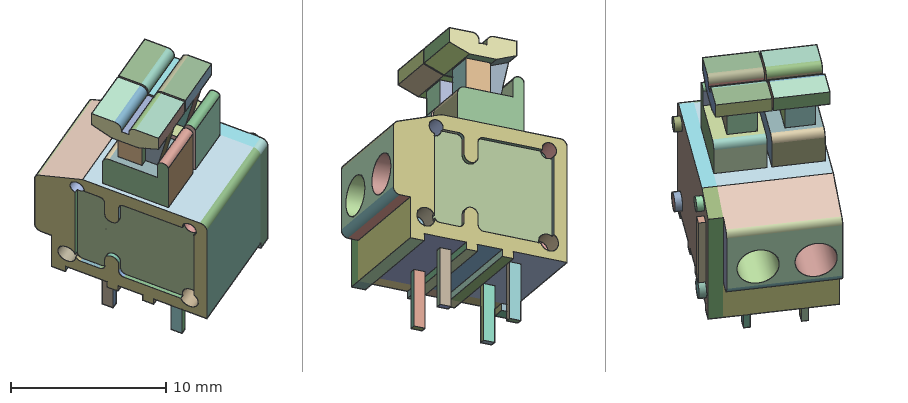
import cadquery as cq


POLE_COUNT = 2
POLE_PITCH = 3.8
POLE_AXIS_Y = 1.75

LENGTH = 12.5
HOUSING_WIDTH = POLE_COUNT * POLE_PITCH
PLATE_THICKNESS = 1.0
FOOT_HEIGHT = 0.5
TOP_Z = 9.17
OVERHANG = 1.22
NOSE_BOTTOM_Z = 2.9
NOSE_TOP_Z = 7.97
SLOPE_END_X = 3.48
EDGE_RADIUS = 0.5
PLATE_SLOPE_Z = NOSE_TOP_Z + (TOP_Z - NOSE_TOP_Z) * OVERHANG / SLOPE_END_X

END_FOOT_WIDTH = 1.0
MIDDLE_FOOT_WIDTH = 0.8
MIDDLE_FOOT_STARTS = (5.25, 7.84)
PLATE_FOOT_WIDTH = 0.97

WIRE_HOLE_DIAMETER = 2.75
WIRE_HOLE_DEPTH = 5.0
WIRE_HOLE_Z = 4.98

RECESS_DEPTH = 0.29
RECESS_LEFT = 2.95
RECESS_RIGHT = 11.55
RECESS_BOTTOM = 1.5
RECESS_TOP = 8.15
RECESS_RADIUS = 0.4
RIB_WIDTH = 1.0
RIB_X = 5.6
LOWER_RIB_TIP_Z = 3.02
UPPER_RIB_TIP_Z = 6.2
SMALL_SNAP_DIAMETER = 1.0
LARGE_SNAP_DIAMETER = 1.3
SNAP_RIGHT_X = 11.22
UPPER_SNAP_LEFT_X = 3.08
LOWER_SNAP_LEFT_X = 2.34
UPPER_SNAP_Z = 8.22
LOWER_SNAP_Z = 1.71
SNAP_HOLE_DEPTH = 1.5
SNAP_PEG_HEIGHT = 0.5
SNAPS = (
    (UPPER_SNAP_LEFT_X, UPPER_SNAP_Z, SMALL_SNAP_DIAMETER),
    (SNAP_RIGHT_X, UPPER_SNAP_Z, SMALL_SNAP_DIAMETER),
    (LOWER_SNAP_LEFT_X, LOWER_SNAP_Z, LARGE_SNAP_DIAMETER),
    (SNAP_RIGHT_X, LOWER_SNAP_Z, LARGE_SNAP_DIAMETER),
)
BAR_LEFT = 2.02
BAR_WIDTH = 0.65
BAR_BOTTOM_Z = 2.47
BAR_TOP_Z = 7.5

TOWER_LEFT = 4.77
TOWER_RIGHT = 9.55
TOWER_TOP_Z = 11.6
TOWER_WIDTH = 3.5
LUG_THICKNESS = 0.8
LUG_TOP_Z = 13.1
LUG_RISE = 0.29

PIN_LENGTH = 3.52
PIN_WIDTH = 0.8
PIN_THICKNESS = 0.45
PIN_STARTS = (4.1, 9.11)

LEVER_AXIS_X = 6.5
HEAD_LENGTH = 4.85
HEAD_WIDTH = 3.69
HEAD_TOP_Z = 15.5
HEAD_SIDE_Z = 14.47
HEAD_BASE_Z = 13.92
STEM_LENGTH = 1.75
STEM_WIDTH = 2.0
STEM_Y = 0.8
HEAD_BASE_LENGTH = 1.94
NOTCH_WIDTH = 0.55
NOTCH_DEPTH = 0.67
NOTCH_RADIUS = 0.5
WEB_THICKNESS = 1.0
WEB_FOOT_X = 8.27


def box(x, y, z, length, width, height):
    """Box given by its lowest corner and its size along X, Y and Z."""
    return cq.Workplane("XY").box(length, width, height, centered=False).translate((x, y, z))


def profile(points, y, width):
    """Closed XZ outline at depth y, extruded towards +Y."""
    return cq.Workplane("XZ", origin=(0, y, 0)).polyline(points).close().extrude(-width)


def cylinder_y(x, z, diameter, y, length):
    """Cylinder along +Y, starting at depth y."""
    return cq.Workplane("XZ", origin=(x, y, z)).circle(diameter / 2).extrude(-length)


def add_through_feet(body, y, width):
    """Add the stretch of the three through-going feet that lies under one slice of the housing."""
    body = body.union(box(OVERHANG, y, 0, END_FOOT_WIDTH, width, FOOT_HEIGHT))
    for start in MIDDLE_FOOT_STARTS:
        body = body.union(box(start, y, 0, MIDDLE_FOOT_WIDTH, width, FOOT_HEIGHT))
    return body


def block():
    """Main block with the wire-entry nose and its feet."""
    body = profile(
        [
            (OVERHANG, FOOT_HEIGHT),
            (LENGTH, FOOT_HEIGHT),
            (LENGTH, TOP_Z),
            (SLOPE_END_X, TOP_Z),
            (0, NOSE_TOP_Z),
            (0, NOSE_BOTTOM_Z),
            (OVERHANG, NOSE_BOTTOM_Z),
        ],
        0,
        HOUSING_WIDTH,
    )
    body = body.faces("<X").edges("|Y").fillet(EDGE_RADIUS)
    body = body.faces(">X").edges(">Z").fillet(EDGE_RADIUS)
    return add_through_feet(body, 0, HOUSING_WIDTH)


def end_plate():
    """Plate closing the +Y side; it follows the block but leaves out the nose."""
    body = profile(
        [
            (OVERHANG, FOOT_HEIGHT),
            (LENGTH, FOOT_HEIGHT),
            (LENGTH, TOP_Z),
            (SLOPE_END_X, TOP_Z),
            (OVERHANG, PLATE_SLOPE_Z),
        ],
        HOUSING_WIDTH,
        PLATE_THICKNESS,
    )
    body = body.faces(">X").edges(">Z").fillet(EDGE_RADIUS)
    right_foot = box(
        LENGTH - PLATE_FOOT_WIDTH, HOUSING_WIDTH, 0,
        PLATE_FOOT_WIDTH, PLATE_THICKNESS, FOOT_HEIGHT,
    )
    return add_through_feet(body.union(right_foot), HOUSING_WIDTH, PLATE_THICKNESS)


def side_recess():
    """Shallow pocket in the -Y side, with a rounded rib left standing at its top and bottom."""
    pocket = box(
        RECESS_LEFT, 0, RECESS_BOTTOM,
        RECESS_RIGHT - RECESS_LEFT, RECESS_DEPTH, RECESS_TOP - RECESS_BOTTOM,
    )
    rib_left = RIB_X - RIB_WIDTH / 2
    lower_rib = box(
        rib_left, 0, RECESS_BOTTOM,
        RIB_WIDTH, RECESS_DEPTH, LOWER_RIB_TIP_Z - RIB_WIDTH / 2 - RECESS_BOTTOM,
    )
    upper_base = UPPER_RIB_TIP_Z + RIB_WIDTH / 2
    upper_rib = box(rib_left, 0, upper_base, RIB_WIDTH, RECESS_DEPTH, RECESS_TOP - upper_base)
    pocket = pocket.cut(lower_rib).cut(upper_rib)
    pocket = pocket.faces("<Z or >Z").edges("|Y").fillet(RECESS_RADIUS)
    for tip_center_z in (LOWER_RIB_TIP_Z - RIB_WIDTH / 2, upper_base):
        pocket = pocket.cut(cylinder_y(RIB_X, tip_center_z, RIB_WIDTH, 0, RECESS_DEPTH))
    return pocket


def snap_pegs():
    """Pegs and bar on the +Y side of the end plate."""
    outer_y = HOUSING_WIDTH + PLATE_THICKNESS
    parts = [cylinder_y(x, z, diameter, outer_y, SNAP_PEG_HEIGHT) for x, z, diameter in SNAPS]
    parts.append(
        box(BAR_LEFT, outer_y, BAR_BOTTOM_Z, BAR_WIDTH, SNAP_PEG_HEIGHT, BAR_TOP_Z - BAR_BOTTOM_Z)
    )
    return parts


def tower(y):
    """Lever guide on top of the block, with a round-topped lug behind the lever."""
    body = box(TOWER_LEFT, y, TOP_Z, TOWER_RIGHT - TOWER_LEFT, TOWER_WIDTH, TOWER_TOP_Z - TOP_Z)
    body = body.faces("<X").edges(">Z").fillet(EDGE_RADIUS)
    lug_left = TOWER_RIGHT - LUG_THICKNESS
    shoulder_z = LUG_TOP_Z - LUG_RISE
    lug = (
        cq.Workplane("XZ", origin=(0, y, 0))
        .moveTo(lug_left, TOP_Z)
        .lineTo(TOWER_RIGHT, TOP_Z)
        .lineTo(TOWER_RIGHT, shoulder_z)
        .threePointArc((lug_left + LUG_THICKNESS / 2, LUG_TOP_Z), (lug_left, shoulder_z))
        .close()
        .extrude(-TOWER_WIDTH)
    )
    return body.union(lug)


def solder_pins(axis_y):
    """Two rectangular pins under one pole."""
    height = PIN_LENGTH + FOOT_HEIGHT
    return [
        box(x, axis_y - PIN_THICKNESS / 2, -PIN_LENGTH, PIN_WIDTH, PIN_THICKNESS, height)
        for x in PIN_STARTS
    ]


def build_housing():
    body = block().cut(side_recess())
    for x, z, diameter in SNAPS:
        body = body.cut(cylinder_y(x, z, diameter, 0, SNAP_HOLE_DEPTH))
    for pole in range(POLE_COUNT):
        wire_hole = (
            cq.Workplane("YZ", origin=(0, POLE_AXIS_Y + pole * POLE_PITCH, WIRE_HOLE_Z))
            .circle(WIRE_HOLE_DIAMETER / 2)
            .extrude(WIRE_HOLE_DEPTH)
        )
        body = body.cut(wire_hole)

    additions = [end_plate(), *snap_pegs()]
    for pole in range(POLE_COUNT):
        additions.append(tower((pole + 1) * POLE_PITCH - TOWER_WIDTH))
        additions.extend(solder_pins(POLE_AXIS_Y + pole * POLE_PITCH))
    for part in additions:
        body = body.union(part, clean=False)
    return body


def lever_head(y):
    """Push head with tapered underside and a screwdriver notch with rounded mouth."""
    left = LEVER_AXIS_X - HEAD_LENGTH / 2
    right = LEVER_AXIS_X + HEAD_LENGTH / 2
    base_left = LEVER_AXIS_X - HEAD_BASE_LENGTH / 2
    base_right = LEVER_AXIS_X + HEAD_BASE_LENGTH / 2
    head = profile(
        [
            (left, HEAD_TOP_Z),
            (left, HEAD_SIDE_Z),
            (base_left, HEAD_BASE_Z),
            (base_right, HEAD_BASE_Z),
            (right, HEAD_SIDE_Z),
            (right, HEAD_TOP_Z),
        ],
        y,
        HEAD_WIDTH,
    )
    notch_left = LEVER_AXIS_X - NOTCH_WIDTH / 2
    notch = box(notch_left, y, HEAD_TOP_Z - NOTCH_DEPTH, NOTCH_WIDTH, HEAD_WIDTH, NOTCH_DEPTH)
    grooved = head.cut(notch)
    top_edges = grooved.faces(">Z").edges("|Y").vals()
    top_edges.sort(key=lambda edge: abs(edge.Center().x - LEVER_AXIS_X))
    return grooved.newObject(top_edges[:2]).fillet(NOTCH_RADIUS)


def build_lever(pole):
    """Push lever standing on its tower: head, square stem and slanted web."""
    stem_y = STEM_Y + pole * POLE_PITCH
    stem_left = LEVER_AXIS_X - STEM_LENGTH / 2
    stem = box(stem_left, stem_y, TOWER_TOP_Z, STEM_LENGTH, STEM_WIDTH, HEAD_BASE_Z - TOWER_TOP_Z)
    web = profile(
        [
            (LEVER_AXIS_X, TOWER_TOP_Z),
            (WEB_FOOT_X, TOWER_TOP_Z),
            (LEVER_AXIS_X + HEAD_LENGTH / 2, HEAD_SIDE_Z),
            (LEVER_AXIS_X, HEAD_SIDE_Z),
        ],
        stem_y + (STEM_WIDTH - WEB_THICKNESS) / 2,
        WEB_THICKNESS,
    )
    return lever_head((pole + 1) * POLE_PITCH - HEAD_WIDTH).union(stem).union(web)


housing = build_housing()
levers = [build_lever(pole) for pole in range(POLE_COUNT)]

result = cq.Compound.makeCompound([housing.val(), *[lever.val() for lever in levers]])